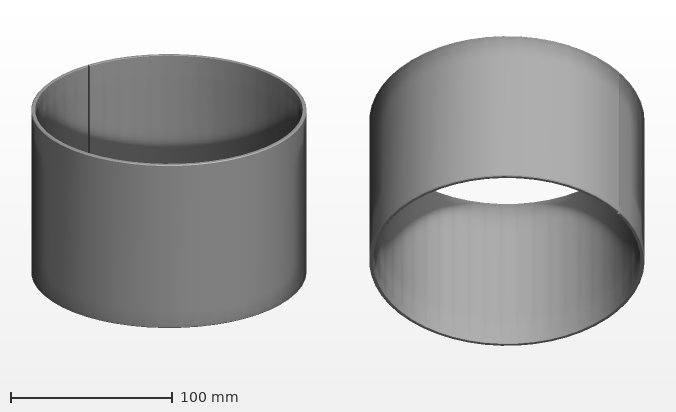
import cadquery as cq

outer_diameter = 170.0
wall = 2.5
height = 110.0
outer_chamfer = 0.5
inner_chamfer = 0.2
sweep_angle = 359.0

outer_radius = outer_diameter / 2
inner_radius = outer_radius - wall


def make_wall_section():
    """Upright wall section on the -X side, with every corner chamfered."""
    outer_face = -outer_radius
    inner_face = -inner_radius
    return (
        cq.Workplane("XZ")
        .moveTo(outer_face + outer_chamfer, 0)
        .lineTo(inner_face - inner_chamfer, 0)
        .lineTo(inner_face, inner_chamfer)
        .lineTo(inner_face, height - inner_chamfer)
        .lineTo(inner_face - inner_chamfer, height)
        .lineTo(outer_face + outer_chamfer, height)
        .lineTo(outer_face, height - outer_chamfer)
        .lineTo(outer_face, outer_chamfer)
        .close()
    )


def make_split_sleeve():
    """Sweep the wall section about Z, stopping short of a full turn to leave the slit."""
    axis_start = (0, 0)
    axis_end = (0, 1)
    return make_wall_section().revolve(sweep_angle, axis_start, axis_end)


result = make_split_sleeve()